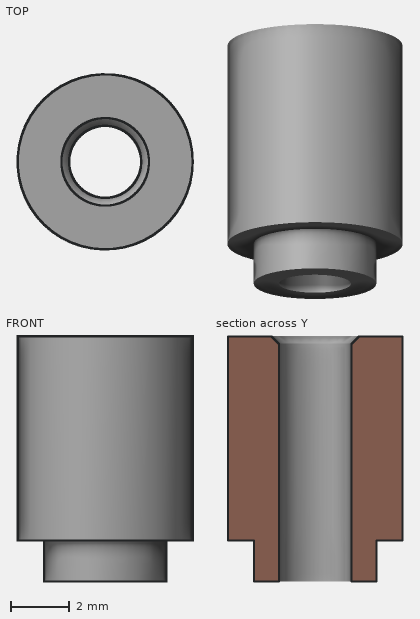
import cadquery as cq

body_diameter = 6.0
body_height = 7.0
spigot_diameter = 4.2
spigot_height = 1.4
bore_diameter = 2.46
countersink_diameter = 3.0

countersink_depth = (countersink_diameter - bore_diameter) / 2
total_height = spigot_height + body_height


def make_spacer():
    """Cylindrical body standing on a smaller spigot, base at Z = 0."""
    spigot = cq.Workplane("XY").circle(spigot_diameter / 2).extrude(spigot_height)
    return spigot.faces(">Z").workplane().circle(body_diameter / 2).extrude(body_height)


def make_bore():
    """Through bore with a conical lead-in at the top."""
    bore = cq.Workplane("XY").circle(bore_diameter / 2).extrude(total_height)
    lead_in = cq.Solid.makeCone(
        bore_diameter / 2,
        countersink_diameter / 2,
        countersink_depth,
        pnt=cq.Vector(0, 0, total_height - countersink_depth),
    )
    return bore.union(cq.Workplane(lead_in))


result = make_spacer().cut(make_bore())